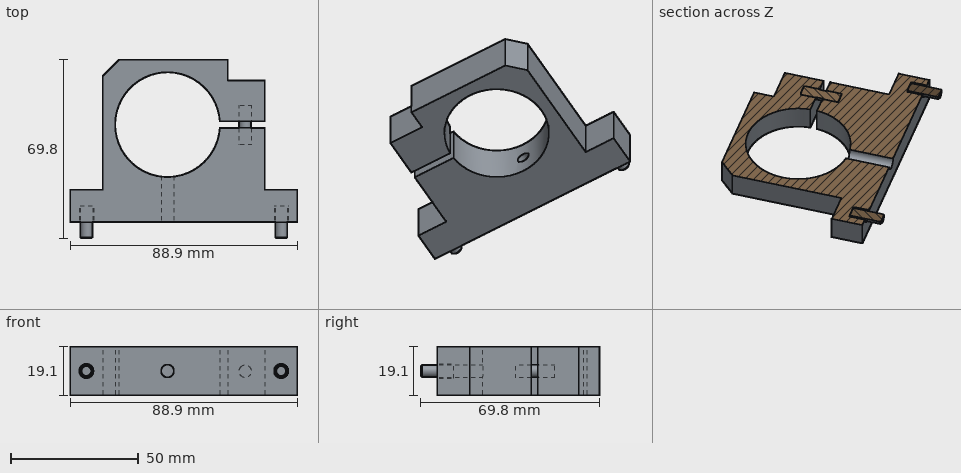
import cadquery as cq


thickness = 19.05
base_length = 88.9
base_height = 12.7
body_width = 63.5
body_height = 63.5
corner_chamfer = 6.35
step_width = 14.45
step_depth = 8.1

bore_diameter = 40.89
bore_x = -6.35
bore_y = 38.1
slit_width = 2.54

screw_diameter = 4.83
screw_tip_chamfer = 0.5
screw_protrusion = 6.35
screw_embedment = 6.35
mounting_hole_diameter = 5.61
mounting_spacing = 76.2
clamp_screw_edge_distance = 7.82
clamp_screw_x = body_width / 2 - clamp_screw_edge_distance

access_hole_diameter = 5.0

mounting_xs = (-mounting_spacing / 2, mounting_spacing / 2)
clamp_screw_start = bore_y - slit_width / 2 - screw_embedment
clamp_screw_length = slit_width + 2 * screw_embedment


def cylinder_along_y(diameter, length, x, y_start):
    """Cylinder in the middle plane that runs toward +Y from y_start."""
    start = cq.Plane(origin=(x, y_start, 0), xDir=(1, 0, 0), normal=(0, 1, 0))
    return cq.Workplane(start).circle(diameter / 2).extrude(length)


def make_outline_block():
    half_base = base_length / 2
    half_body = body_width / 2
    outline = [
        (-half_base, 0),
        (half_base, 0),
        (half_base, base_height),
        (half_body, base_height),
        (half_body, body_height - step_depth),
        (half_body - step_width, body_height - step_depth),
        (half_body - step_width, body_height),
        (-half_body + corner_chamfer, body_height),
        (-half_body, body_height - corner_chamfer),
        (-half_body, base_height),
        (-half_base, base_height),
    ]
    return cq.Workplane("XY").polyline(outline).close().extrude(thickness / 2, both=True)


def make_bore_and_slit():
    bore = (
        cq.Workplane("XY")
        .center(bore_x, bore_y)
        .circle(bore_diameter / 2)
        .extrude(thickness / 2, both=True)
    )
    slit_length = body_width / 2 - bore_x
    slit = (
        cq.Workplane("XY")
        .center(bore_x + slit_length / 2, bore_y)
        .rect(slit_length, slit_width)
        .extrude(thickness / 2, both=True)
    )
    return bore.union(slit)


def make_clamp_block():
    block = make_outline_block().cut(make_bore_and_slit())
    block = block.cut(cylinder_along_y(access_hole_diameter, bore_y, bore_x, 0))
    for x in mounting_xs:
        block = block.cut(cylinder_along_y(mounting_hole_diameter, screw_embedment, x, 0))
    return block.cut(
        cylinder_along_y(screw_diameter, clamp_screw_length, clamp_screw_x, clamp_screw_start)
    )


def make_mounting_screw(x):
    """Screw seated on the floor of its clearance hole, with its tip below the base."""
    length = screw_protrusion + screw_embedment
    screw = cylinder_along_y(screw_diameter, length, x, -screw_protrusion)
    return screw.faces("<Y").chamfer(screw_tip_chamfer)


def make_clamp_screw():
    """Screw that bridges the slit and sits equally deep in both jaws."""
    return cylinder_along_y(screw_diameter, clamp_screw_length, clamp_screw_x, clamp_screw_start)


clamp_block = make_clamp_block()
mounting_screws = [make_mounting_screw(x) for x in mounting_xs]
clamp_screw = make_clamp_screw()

result = cq.Compound.makeCompound(
    [*clamp_block.solids().vals(), *[screw.val() for screw in mounting_screws], clamp_screw.val()]
)